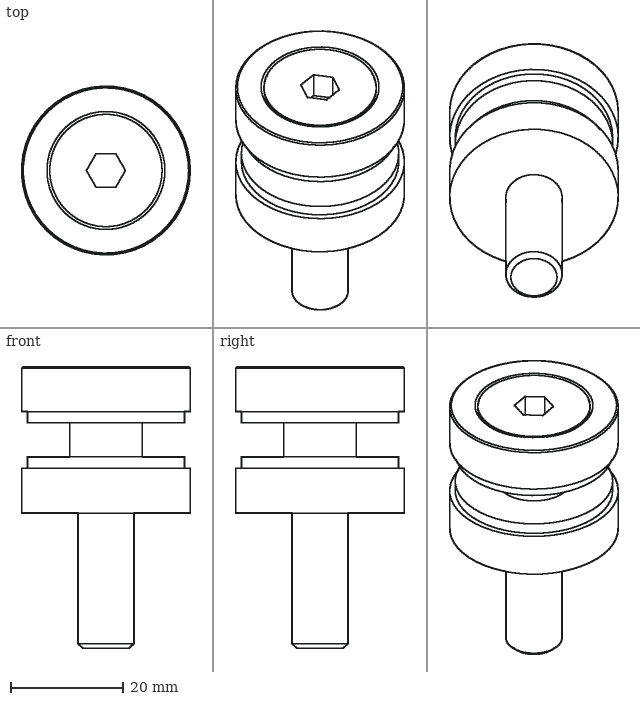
import cadquery as cq
import math

total_height = 50.1

disc_diameter = 30.0
disc_height = 8.0
cap_chamfer = 0.3

gasket_diameter = 28.0
gasket_thickness = 2.0

sleeve_diameter = 13.0
sleeve_length = 6.0

shank_diameter = 10.0
tip_chamfer_radial = 0.9
tip_chamfer_height = 0.85

head_diameter = 20.0
head_recess = 0.1
countersink_diameter = 21.0
socket_across_flats = 6.0
socket_depth = 5.0

head_top = total_height - head_recess
cap_bottom = total_height - disc_height
sleeve_top = cap_bottom - gasket_thickness
sleeve_bottom = sleeve_top - sleeve_length
base_top = sleeve_bottom - gasket_thickness
base_bottom = base_top - disc_height

shank_radius = shank_diameter / 2
head_radius = head_diameter / 2
countersink_radius = countersink_diameter / 2
head_cone_top = total_height - (countersink_radius - head_radius)
head_cone_bottom = total_height - (countersink_radius - shank_radius)


def make_ring(diameter, bottom, height):
    """Round plate or tube with a bore that fits the screw shank."""
    return (
        cq.Workplane("XY", origin=(0, 0, bottom))
        .circle(diameter / 2)
        .circle(shank_radius)
        .extrude(height)
    )


def make_cap():
    """Upper disc with a chamfered top rim and a countersunk bore."""
    disc = (
        cq.Workplane("XY", origin=(0, 0, cap_bottom))
        .circle(disc_diameter / 2)
        .extrude(disc_height)
        .faces(">Z")
        .chamfer(cap_chamfer)
    )
    bore = (
        cq.Workplane("XZ")
        .moveTo(0, cap_bottom)
        .lineTo(shank_radius, cap_bottom)
        .lineTo(shank_radius, head_cone_bottom)
        .lineTo(countersink_radius, total_height)
        .lineTo(0, total_height)
        .close()
        .revolve(360, (0, 0), (0, 1))
    )
    return disc.cut(bore)


def make_screw():
    """Countersunk screw with a hexagon socket and a chamfered tip."""
    body = (
        cq.Workplane("XZ")
        .lineTo(shank_radius - tip_chamfer_radial, 0)
        .lineTo(shank_radius, tip_chamfer_height)
        .lineTo(shank_radius, head_cone_bottom)
        .lineTo(head_radius, head_cone_top)
        .lineTo(head_radius, head_top)
        .lineTo(0, head_top)
        .close()
        .revolve(360, (0, 0), (0, 1))
    )
    across_corners = socket_across_flats / math.cos(math.pi / 6)
    socket = (
        cq.Workplane("XY", origin=(0, 0, head_top))
        .polygon(6, across_corners)
        .extrude(-socket_depth)
    )
    return body.cut(socket)


cap = make_cap()
screw = make_screw()
base = make_ring(disc_diameter, base_bottom, disc_height)
sleeve = make_ring(sleeve_diameter, sleeve_bottom, sleeve_length)

gaskets = []
for gasket_bottom in (base_top, sleeve_top):
    gasket = make_ring(gasket_diameter, gasket_bottom, gasket_thickness)
    gaskets.append(gasket.val())

result = cq.Compound.makeCompound([cap.val(), screw.val(), base.val(), sleeve.val(), *gaskets])